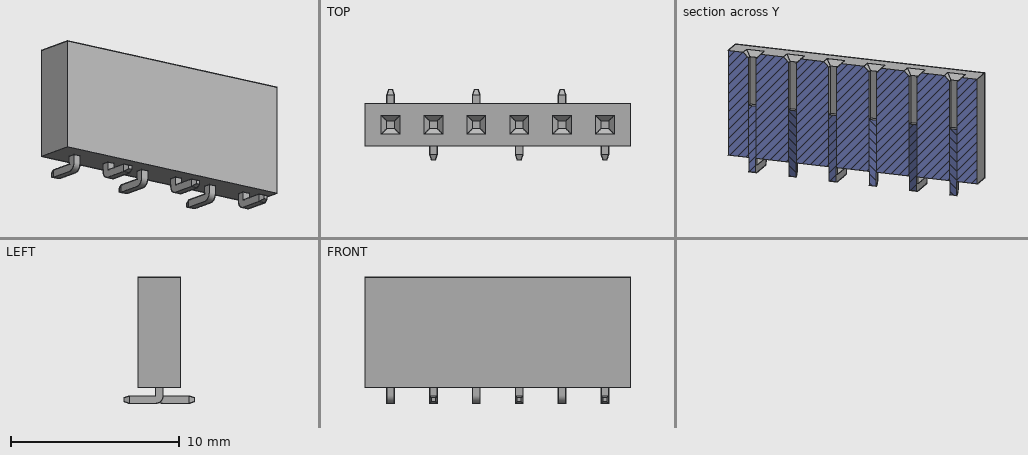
import cadquery as cq

pin_count = 6
pitch = 2.54
housing_length = 15.74
housing_width = 2.54
housing_height = 6.56

pin_size = 0.46
pin_reach = 2.1
pin_drop = 0.94
tip_length = 0.34
tip_size = pin_size / 2

socket_mouth = 1.11
funnel_depth = (socket_mouth - pin_size) / 2

foot_bottom = -pin_drop
foot_top = foot_bottom + pin_size
funnel_bottom = housing_height - funnel_depth
pin_top = housing_height / 2

pin_places = [((i - (pin_count - 1) / 2) * pitch, 0, 0) for i in range(pin_count)]


def make_housing():
    """Block with a socket funnel above a square through-passage for each pin."""
    block = cq.Workplane("XY").box(
        housing_length, housing_width, housing_height, centered=(True, True, False)
    )
    funnel = (
        cq.Workplane("XY", origin=(0, 0, funnel_bottom))
        .rect(pin_size, pin_size)
        .workplane(offset=funnel_depth)
        .rect(socket_mouth, socket_mouth)
        .loft(ruled=True)
    )
    passage = cq.Workplane("XY").box(
        pin_size, pin_size, funnel_bottom, centered=(True, True, False)
    )
    for place in pin_places:
        block = block.cut(funnel.translate(place)).cut(passage.translate(place))
    return block


def make_pin():
    """Square pin with a foot towards +Y, a rounded heel and a tapered tip."""
    half = pin_size / 2
    tip_start = pin_reach - tip_length
    bar = (
        cq.Workplane("YZ", origin=(-half, 0, 0))
        .moveTo(-half, pin_top)
        .lineTo(-half, foot_top)
        .radiusArc((half, foot_bottom), -pin_size)
        .lineTo(tip_start, foot_bottom)
        .lineTo(tip_start, foot_top)
        .lineTo(half, foot_top)
        .lineTo(half, pin_top)
        .close()
        .extrude(pin_size)
    )
    tip = (
        cq.Workplane("XZ", origin=(0, tip_start, foot_bottom + half))
        .rect(pin_size, pin_size)
        .workplane(offset=-tip_length)
        .rect(tip_size, tip_size)
        .loft(ruled=True)
    )
    return bar.union(tip)


def make_pins():
    """Row of pins whose feet point alternately to +Y and -Y."""
    pins = []
    for index, place in enumerate(pin_places):
        turn = 180 * (index % 2)
        pin = make_pin().rotate((0, 0, 0), (0, 0, 1), turn).translate(place)
        pins.append(pin.val())
    return pins


housing = make_housing()
pins = make_pins()
result = cq.Compound.makeCompound([housing.val(), *pins])